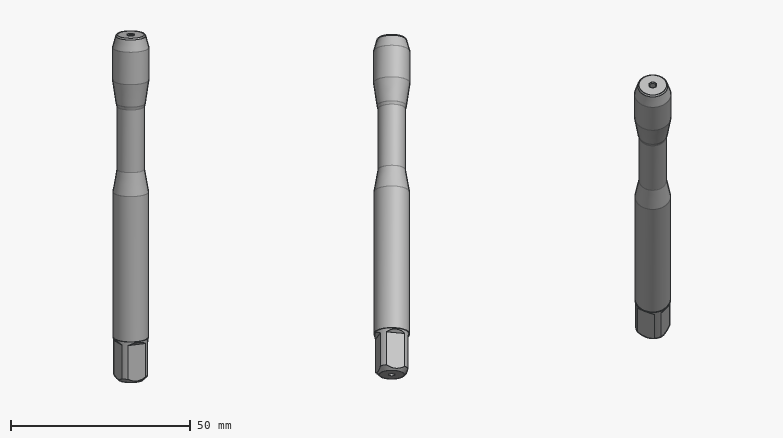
import cadquery as cq

total_length = 100.0
shank_start = 12.2
shank_end = 54.4
neck_start = 61.0
neck_end = 79.2
head_taper_start = 80.1
head_start = 86.9
head_end = 96.3
tip_edge_height = 0.4

head_diameter = 10.2
shank_diameter = 10.0
square_corner_diameter = 9.6
neck_diameter = 7.7
head_taper_diameter = 8.2
tip_edge_diameter = 8.4
tip_diameter = 7.7
bore_diameter = 1.7
bore_mouth_diameter = 2.2

square_width = 8.0
flat_height = 11.1
end_chamfer = 1.3


def turned_body():
    """Revolve the stepped half profile about the Z axis."""
    stations = [
        (square_corner_diameter - 2 * end_chamfer, 0),
        (square_corner_diameter, end_chamfer),
        (square_corner_diameter, shank_start),
        (shank_diameter, shank_start),
        (shank_diameter, shank_end),
        (neck_diameter, neck_start),
        (neck_diameter, neck_end),
        (head_taper_diameter, head_taper_start),
        (head_diameter, head_start),
        (head_diameter, head_end),
        (tip_edge_diameter, total_length - tip_edge_height),
        (tip_diameter, total_length),
    ]
    outline = [(diameter / 2, height) for diameter, height in stations]
    profile = [(0, 0)] + outline + [(0, total_length)]
    return cq.Workplane("XZ").polyline(profile).close().revolve(360, (0, 0, 0), (0, 1, 0))


def flat_cutter():
    """Block beyond one flat, with a 45-degree run-out at its upper end."""
    inner = square_width / 2
    outer = shank_diameter
    profile = [
        (inner, 0),
        (outer, 0),
        (outer, flat_height + outer - inner),
        (inner, flat_height),
    ]
    return cq.Workplane("XZ").polyline(profile).close().extrude(shank_diameter, both=True)


def bore_cutter():
    """Central bore through the full length, with a 45-degree countersink at the tip."""
    bore_radius = bore_diameter / 2
    mouth_radius = bore_mouth_diameter / 2
    profile = [
        (0, 0),
        (bore_radius, 0),
        (bore_radius, total_length - (mouth_radius - bore_radius)),
        (mouth_radius, total_length),
        (0, total_length),
    ]
    return cq.Workplane("XZ").polyline(profile).close().revolve(360, (0, 0, 0), (0, 1, 0))


result = turned_body()
for side in range(4):
    result = result.cut(flat_cutter().rotate((0, 0, 0), (0, 0, 1), 90 * side))
result = result.cut(bore_cutter())